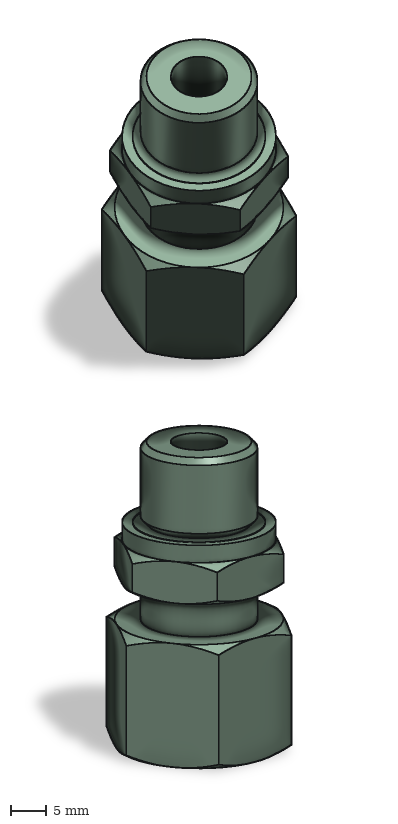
import cadquery as cq
import math

total_height = 45.0
nut_height = 18.5
hex_bottom = 24.2
hex_top = 30.4
collar_top = 33.0

nut_flats = 24.0
hex_flats = 22.0
hex_sides = 6
hex_chamfer_angle = 30.0

bore_diameter = 8.0
stud_diameter = 16.66
stud_tip_diameter = 14.95
stud_chamfer_height = 0.9
undercut_diameter = 14.7
collar_diameter = 21.9
seal_recess_diameter = 18.9
seal_recess_depth = 0.1
recess_floor = collar_top - seal_recess_depth


def cylinder(diameter, z_bottom, z_top):
    """Upright cylinder on the part axis."""
    return cq.Workplane("XY").workplane(offset=z_bottom).circle(diameter / 2).extrude(z_top - z_bottom)


def revolve_profile(points):
    """Solid of revolution about Z from (radius, z) points."""
    return cq.Workplane("XZ").polyline(points).close().revolve(360, (0, 0, 0), (0, 1, 0))


def chamfered_hexagon(flats, z_bottom, z_top):
    """Hexagonal prism with its corners turned off conically at both ends."""
    corner_diameter = flats / math.cos(math.pi / hex_sides)
    face_radius = flats / 2
    corner_radius = corner_diameter / 2
    corner_drop = (corner_radius - face_radius) * math.tan(math.radians(hex_chamfer_angle))
    prism = (
        cq.Workplane("XY")
        .workplane(offset=z_bottom)
        .transformed(rotate=(0, 0, 90))
        .polygon(hex_sides, corner_diameter)
        .extrude(z_top - z_bottom)
    )
    turned_envelope = revolve_profile([
        (0, z_bottom),
        (face_radius, z_bottom),
        (corner_radius, z_bottom + corner_drop),
        (corner_radius, z_top - corner_drop),
        (face_radius, z_top),
        (0, z_top),
    ])
    return prism.intersect(turned_envelope)


def threaded_stud():
    """Stud with a chamfered tip and a tapered undercut running down to the recess floor."""
    stud_radius = stud_diameter / 2
    undercut_radius = undercut_diameter / 2
    taper_start = collar_top + stud_chamfer_height
    return revolve_profile([
        (0, recess_floor),
        (undercut_radius, recess_floor),
        (stud_radius, taper_start),
        (stud_radius, total_height - stud_chamfer_height),
        (stud_tip_diameter / 2, total_height),
        (0, total_height),
    ])


nut = chamfered_hexagon(nut_flats, 0, nut_height)
neck = cylinder(stud_diameter, nut_height, hex_bottom)
body_hex = chamfered_hexagon(hex_flats, hex_bottom, hex_top)
collar = cylinder(collar_diameter, hex_top, collar_top)
seal_recess = cylinder(seal_recess_diameter, recess_floor, collar_top)
bore = cylinder(bore_diameter, 0, total_height)

body = nut.union(neck).union(body_hex).union(collar).cut(seal_recess)
result = body.union(threaded_stud()).cut(bore)